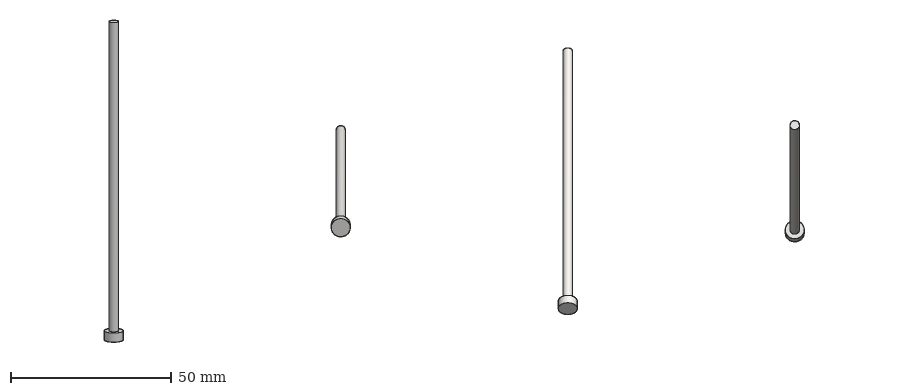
import cadquery as cq

total_length = 103.0
head_diameter = 6.0
head_height = 3.0
shaft_diameter = head_diameter / 2
shaft_length = total_length - head_height

head = cq.Workplane("XY").circle(head_diameter / 2).extrude(head_height)

result = head.faces(">Z").workplane().circle(shaft_diameter / 2).extrude(shaft_length)